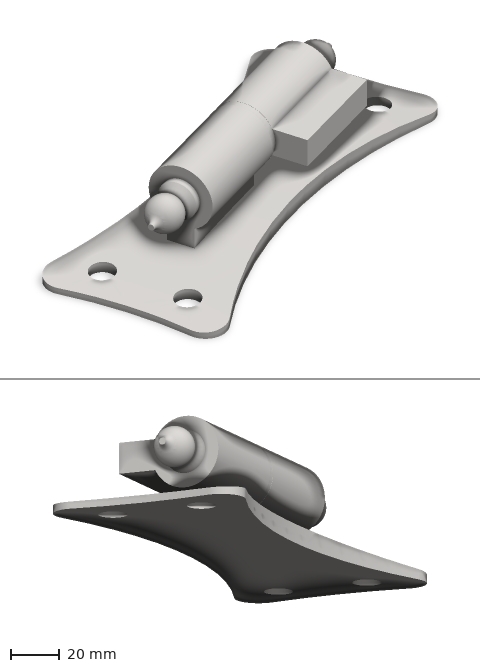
import cadquery as cq
import math

axis_height = 30.0

barrel_diameter = 30.0
barrel_length = 50.0
tang_reach = 30.0
tang_thickness = 13.0

washer_diameter = 29.8
washer_bore_diameter = 18.25
washer_thickness = 3.0

pin_diameter = 18.0
pin_length = 150.0
shank_half_length = barrel_length + washer_thickness
neck_radius = 5.5
ball_radius = 8.5
ball_y = 63.45
cone_length = 4.0
tip_base_radius = 3.9
tip_radius = 1.5

plate_width = 85.0
plate_length = 195.2
corner_radius = 10.0
waist_half_width = 25.0
end_mid_half_length = 95.25
crown_height = 8.0
crown_edge_height = 3.0
hole_diameter = 12.0
hole_spacing_x = 40.0
hole_spacing_y = 160.0


def concave_arc_radius(along, across, mid):
    """Radius of an arc that passes `mid` on its symmetry line and is tangent to a corner circle.

    The corner circle's centre lies `along` the edge and `across` from the plate centre.
    """
    gap = across - mid
    return (along**2 + gap**2 - corner_radius**2) / (2 * (corner_radius + gap))


def make_plate():
    corner_x = plate_width / 2 - corner_radius
    corner_y = plate_length / 2 - corner_radius
    side_radius = concave_arc_radius(corner_y, corner_x, waist_half_width)
    end_radius = concave_arc_radius(corner_x, corner_y, end_mid_half_length)

    side_ratio = corner_radius / (side_radius + corner_radius)
    side_x = corner_x + (waist_half_width + side_radius - corner_x) * side_ratio
    side_y = corner_y * (1 - side_ratio)
    end_ratio = corner_radius / (end_radius + corner_radius)
    end_x = corner_x * (1 - end_ratio)
    end_y = corner_y + (end_mid_half_length + end_radius - corner_y) * end_ratio
    corner_mid = corner_radius * math.sqrt(0.5)
    bulge_x = corner_x + corner_mid
    bulge_y = corner_y + corner_mid

    blank = (
        cq.Workplane("XY")
        .moveTo(side_x, -side_y)
        .threePointArc((waist_half_width, 0), (side_x, side_y))
        .threePointArc((bulge_x, bulge_y), (end_x, end_y))
        .threePointArc((0, end_mid_half_length), (-end_x, end_y))
        .threePointArc((-bulge_x, bulge_y), (-side_x, side_y))
        .threePointArc((-waist_half_width, 0), (-side_x, -side_y))
        .threePointArc((-bulge_x, -bulge_y), (-end_x, -end_y))
        .threePointArc((0, -end_mid_half_length), (end_x, -end_y))
        .threePointArc((bulge_x, -bulge_y), (side_x, -side_y))
        .close()
        .extrude(crown_height)
    )

    drop = crown_height - crown_edge_height
    crown_radius = ((plate_length / 2) ** 2 + drop**2) / (2 * drop)
    crown = (
        cq.Workplane("YZ")
        .center(0, crown_height - crown_radius)
        .circle(crown_radius)
        .extrude(plate_width / 2, both=True)
    )
    holes = (
        cq.Workplane("XY")
        .rect(hole_spacing_x, hole_spacing_y, forConstruction=True)
        .vertices()
        .circle(hole_diameter / 2)
        .extrude(crown_height)
    )
    return blank.intersect(crown).cut(holes)


def make_knuckle(tang_angle, start_y):
    """Knuckle bored for the pin, from `start_y` towards +Y, tang `tang_angle` degrees down from +X."""
    barrel = cq.Workplane("XZ").circle(barrel_diameter / 2).extrude(-barrel_length)
    tang = (
        cq.Workplane("XZ")
        .center(tang_reach / 2, 0)
        .rect(tang_reach, tang_thickness)
        .extrude(-barrel_length)
    )
    bore = cq.Workplane("XZ").circle(pin_diameter / 2).extrude(-barrel_length)
    knuckle = barrel.union(tang).cut(bore)
    return knuckle.rotate((0, 0, 0), (0, 1, 0), tang_angle).translate((0, start_y, axis_height))


def make_washer():
    return (
        cq.Workplane("XZ", origin=(0, 0, axis_height))
        .circle(washer_diameter / 2)
        .circle(washer_bore_diameter / 2)
        .extrude(-washer_thickness)
    )


def make_pin():
    pin_radius = pin_diameter / 2
    half_length = pin_length / 2

    neck_y = shank_half_length + cone_length
    tip_base_y = ball_y + math.sqrt(ball_radius**2 - tip_base_radius**2)

    tip_run = half_length - tip_base_y
    tip_fall = tip_base_radius - tip_radius
    flare_radius = (tip_run**2 + tip_fall**2) / (2 * tip_fall)
    half_sweep = math.asin(tip_run / flare_radius) / 2
    flare_mid = (
        tip_radius + flare_radius * (1 - math.cos(half_sweep)),
        half_length - flare_radius * math.sin(half_sweep),
    )

    half_core = (
        cq.Workplane("XY")
        .lineTo(pin_radius, 0)
        .lineTo(pin_radius, shank_half_length)
        .lineTo(neck_radius, neck_y)
        .lineTo(tip_base_radius, tip_base_y)
        .threePointArc(flare_mid, (tip_radius, half_length))
        .lineTo(0, half_length)
        .close()
        .revolve(360, (0, 0), (0, 1))
    )
    ball = cq.Workplane("XY").sphere(ball_radius).translate((0, ball_y, 0))
    half_pin = half_core.union(ball)
    pin = half_pin.union(half_pin.mirror("XZ"))
    return pin.translate((0, 0, axis_height))


plate = make_plate()
plate_knuckle = make_knuckle(90, -barrel_length).cut(plate)
door_knuckle = make_knuckle(0, washer_thickness)
washer = make_washer()
pin = make_pin()

bodies = [plate, plate_knuckle, door_knuckle, washer, pin]
result = cq.Compound.makeCompound([body.solids().val() for body in bodies])